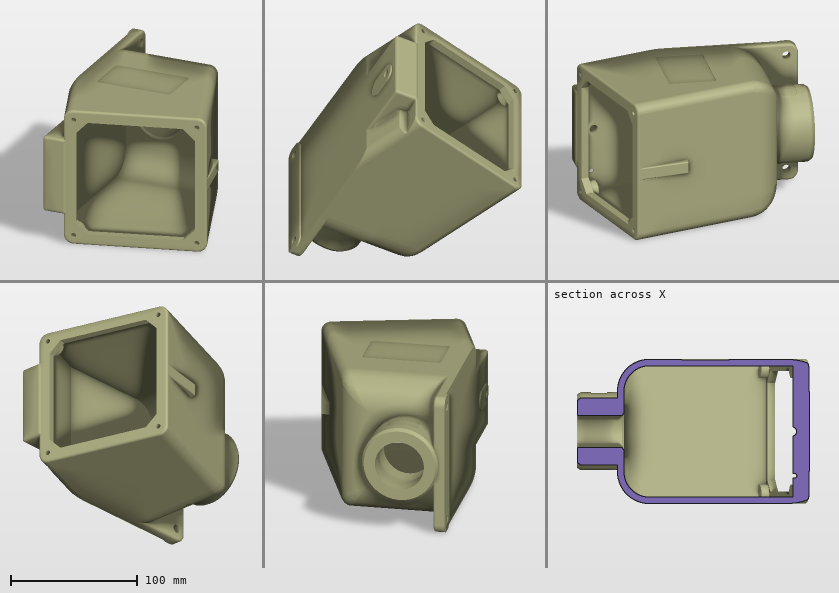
import cadquery as cq
import math


overall_length = 184.15
height = 114.3
half_height = height / 2
back_plane = 1.3
corner_y, corner_z = 127.1, 31.75
corner_x = 67.85
corner_radius = half_height - corner_z
rear_y = corner_y + corner_radius
wall_angle = math.radians(20)
mouth_angle = math.radians(15)
heel_x, heel_y = 19.4, 0.5
long_edge_radius = 7.6
rim_radius = 1.9

wall = 5.5
mouth_depth = 6.35
mouth_chamfer = 9.5
cavity_corner_radius = corner_radius - wall
mouth_half_height = 47.625
mouth_left, mouth_right = 28.7, 120.7

screw_left, screw_right = 27.0, 122.3
screw_z = 49.4
screw_diameter = 3.9
screw_depth = 9.5
screw_boss_radius = 7.5
screw_boss_end = 12.7

collar_x = 35.6
collar_radius = 30.8
collar_chamfer_length, collar_chamfer_inset = 3.0, 1.9
bore_radius = 19.7
bore_chamfer = 1.5

flange_end = 180.6
flange_thickness = 9.3
flange_corner = 7.6
flange_edge_radius = 2.0
pad_length = 19.4
mount_hole_y, mount_hole_z = 171.1, 47.625
mount_hole_diameter = 6.8
slot_pad_start, slot_pad_end, slot_pad_width = 6.6, 38.4, 16.0
foot_hole_y = 14.4

rib_half_width = 31.9
rib_edge_radius = 2.3
rib_root_radius = 2.2
relief_x, relief_y = 19.2, 16.7
relief_root_radius, relief_edge_radius = 2.0, 1.8
drain_y, drain_z, drain_diameter = 12.6, -35.0, 3.4

lug_y, lug_tip_x = 72.5, 121.0
lug_half_width = 4.9
lug_edge_radius = 1.0
lug_root_radius = corner_radius - wall / 2

label_depth = 0.5
label_length, label_width, label_corner = 63.5, 38.1, 2.5
label_x, label_y = 50.9, 82.7
size_label_length, size_label_width, size_label_corner = 24.6, 12.5, 2.0
size_label_y = 166.8

mouth_normal = cq.Vector(math.sin(mouth_angle), -math.cos(mouth_angle), 0)


def mouth_y(x, depth=0.0):
    """Y of the plane lying the given depth inside the mouth face."""
    return heel_y + (x - heel_x) * math.tan(mouth_angle) + depth / math.cos(mouth_angle)


def left_wall_x(y, inset=0.0):
    return heel_x - (y - heel_y) * math.tan(wall_angle) + inset / math.cos(wall_angle)


def left_wall_y(x, inset=0.0):
    return heel_y + (heel_x - x + inset / math.cos(wall_angle)) / math.tan(wall_angle)


def right_wall_x(y, radius):
    """X of the right wall, which is tangent to the rear corner arc of the given radius."""
    return corner_x + radius / math.cos(wall_angle) - (y - corner_y) * math.tan(wall_angle)


def mouth_point(wall_x_at_y, depth):
    """Point where a leaning wall, given as X at a chosen Y, meets the plane at a depth inside the mouth."""
    x_at_mouth_start = wall_x_at_y(mouth_y(0, depth))
    x = x_at_mouth_start / (1 + math.tan(mouth_angle) * math.tan(wall_angle))
    return x, mouth_y(x, depth)


def right_mouth_point(radius, depth):
    return mouth_point(lambda y: right_wall_x(y, radius), depth)


def left_mouth_point(inset, depth):
    return mouth_point(lambda y: left_wall_x(y, inset), depth)


def corner_arc_point(radius, angle):
    return corner_x + radius * math.cos(angle), corner_y + radius * math.sin(angle)


def plan_prism(left_x, inset, arc_radius, depth):
    """Plan outline of the shell or cavity, extruded over the full height."""
    middle_angle = (wall_angle + math.pi / 2) / 2
    return (
        cq.Workplane("XY").workplane(offset=-half_height)
        .moveTo(*left_mouth_point(inset, depth))
        .lineTo(left_x, left_wall_y(left_x, inset))
        .lineTo(left_x, corner_y + arc_radius)
        .lineTo(corner_x, corner_y + arc_radius)
        .threePointArc(corner_arc_point(arc_radius, middle_angle), corner_arc_point(arc_radius, wall_angle))
        .lineTo(*right_mouth_point(arc_radius, depth))
        .close().extrude(height)
    )


def side_prism(arc_radius):
    """Side outline with rounded rear corners, extruded over the full width."""
    diagonal = arc_radius * math.sqrt(0.5)
    top_z = corner_z + arc_radius
    return (
        cq.Workplane("YZ")
        .moveTo(0, -top_z)
        .lineTo(corner_y, -top_z)
        .threePointArc((corner_y + diagonal, -corner_z - diagonal), (corner_y + arc_radius, -corner_z))
        .lineTo(corner_y + arc_radius, corner_z)
        .threePointArc((corner_y + diagonal, corner_z + diagonal), (corner_y, top_z))
        .lineTo(0, top_z)
        .close().extrude(overall_length)
    )


def mouth_plane():
    """Plane on the mouth face, local x along the face, local y along Z, normal outward."""
    along = (math.cos(mouth_angle), math.sin(mouth_angle), 0)
    return cq.Workplane(cq.Plane(origin=(heel_x, heel_y, 0), xDir=along, normal=mouth_normal))


def along_mouth(x):
    return (x - heel_x) / math.cos(mouth_angle)


screw_points = [
    (along_mouth(x), z) for x in (screw_left, screw_right) for z in (-screw_z, screw_z)
]


def box_between(low, high):
    size = [b - a for a, b in zip(low, high)]
    return cq.Workplane("XY").box(*size, centered=False).translate(low)


def housing():
    shell = plan_prism(back_plane, 0, corner_radius, 0)
    shell = shell.intersect(side_prism(corner_radius))
    points_on_walls = (
        (right_wall_x(label_y, corner_radius), label_y),
        (left_wall_x(relief_y), relief_y),
    )
    for x, y in points_on_walls:
        for z in (-half_height, half_height):
            long_edge = cq.selectors.NearestToPointSelector((x, y, z))
            shell = shell.edges(long_edge).fillet(long_edge_radius)
    mouth_face = shell.faces(cq.selectors.DirectionMinMaxSelector(mouth_normal))
    return mouth_face.edges().fillet(rim_radius)


def foot_rib():
    """Straight rib that carries the mounting plane down past the leaning left wall."""
    root_y = left_wall_y(back_plane)
    inner_x = heel_x + rim_radius
    rib = (
        cq.Workplane("XY").workplane(offset=-rib_half_width)
        .moveTo(back_plane, 0)
        .lineTo(heel_x, 0)
        .lineTo(inner_x, mouth_y(inner_x))
        .lineTo(inner_x, root_y)
        .lineTo(back_plane, root_y)
        .close().extrude(2 * rib_half_width)
    )
    return rib.edges("(<X and |Y) or (<X and <Y) or (<Y and |X)").fillet(rib_edge_radius)


def rib_root_fillets():
    """Concave fillets where the rib sides meet the left wall."""
    root_y = left_wall_y(back_plane)
    down_the_wall = (math.sin(wall_angle), -math.cos(wall_angle), 0)
    into_the_wall = (math.cos(wall_angle), math.sin(wall_angle), 0)
    section_plane = cq.Plane(origin=(back_plane, root_y, 0), xDir=into_the_wall, normal=down_the_wall)
    length = (root_y - heel_y - rib_edge_radius) / math.cos(wall_angle)
    bend = rib_root_radius * (1 - math.sqrt(0.5))
    fillets = cq.Workplane("XY")
    for side in (-1, 1):
        root_z = side * rib_half_width
        fillet = (
            cq.Workplane(section_plane)
            .moveTo(0, root_z)
            .lineTo(0, root_z + side * rib_root_radius)
            .threePointArc((-bend, root_z + side * bend), (-rib_root_radius, root_z))
            .close().extrude(length)
        )
        fillets = fillets.add(fillet)
    rib_reach = box_between((back_plane + rib_edge_radius, 0, -half_height), (heel_x, root_y, half_height))
    return fillets.combine().intersect(rib_reach)


def corner_relief():
    """Notch in the lower end of the left wall, blending into the wall through a convex round."""
    edge_x = left_wall_x(relief_y)
    corner_angle = math.pi / 2 + wall_angle
    tangent_length = relief_edge_radius / math.tan(corner_angle / 2)
    center_x, center_y = edge_x + tangent_length, relief_y + relief_edge_radius
    wall_end = (
        edge_x - tangent_length * math.sin(wall_angle),
        relief_y + tangent_length * math.cos(wall_angle))
    middle_angle = (3 * math.pi / 2 + math.pi + wall_angle) / 2
    round_middle = (
        center_x + relief_edge_radius * math.cos(middle_angle),
        center_y + relief_edge_radius * math.sin(middle_angle))
    notch = (
        cq.Workplane("XY").workplane(offset=-half_height)
        .moveTo(0, 0)
        .lineTo(relief_x, 0)
        .lineTo(relief_x, relief_y)
        .lineTo(center_x, relief_y)
        .threePointArc(round_middle, wall_end)
        .lineTo(0, wall_end[1])
        .close().extrude(half_height - rib_half_width)
    )
    root = cq.selectors.NearestToPointSelector((relief_x, relief_y, -half_height))
    return notch.edges("|Z").edges(root).fillet(relief_root_radius)


def flange():
    plate = box_between((0, corner_y, -half_height), (flange_thickness, flange_end, half_height))
    plate = plate.edges("|X and >Y").fillet(flange_corner)
    plate = plate.faces(">X").edges("not <Y").fillet(flange_edge_radius)
    relief = box_between((0, corner_y, -half_height), (back_plane, flange_end, half_height))
    return plate.cut(relief)


def pads():
    flange_pad = box_between(
        (0, flange_end - pad_length, -half_height), (back_plane, flange_end, half_height))
    flange_pad = flange_pad.edges("|X").fillet(flange_corner)
    slot_pad = (
        cq.Workplane("YZ").center((slot_pad_start + slot_pad_end) / 2, 0)
        .slot2D(slot_pad_end - slot_pad_start, slot_pad_width).extrude(back_plane)
    )
    return flange_pad.union(slot_pad)


def collar():
    return (
        cq.Workplane("XZ", origin=(collar_x, overall_length, 0))
        .circle(collar_radius).extrude(overall_length - corner_y - cavity_corner_radius)
        .faces(">Y").chamfer(collar_chamfer_length, collar_chamfer_inset)
    )


def bore():
    inner_y = corner_y + cavity_corner_radius
    return (
        cq.Workplane("XY", origin=(collar_x, 0, 0))
        .moveTo(0, inner_y)
        .lineTo(bore_radius + bore_chamfer, inner_y)
        .lineTo(bore_radius, inner_y + bore_chamfer)
        .lineTo(bore_radius, overall_length)
        .lineTo(0, overall_length)
        .close().revolve(360, (0, 0, 0), (0, 1, 0))
    )


def cavity():
    room = plan_prism(back_plane + wall, wall, cavity_corner_radius, mouth_depth)
    room = room.intersect(side_prism(cavity_corner_radius))
    bosses = mouth_plane().pushPoints(screw_points).circle(screw_boss_radius).extrude(-screw_boss_end)
    mouth = (
        mouth_plane().center((along_mouth(mouth_left) + along_mouth(mouth_right)) / 2, 0)
        .rect(along_mouth(mouth_right) - along_mouth(mouth_left), 2 * mouth_half_height)
        .extrude(-mouth_depth)
        .edges(cq.selectors.ParallelDirSelector(mouth_normal)).chamfer(mouth_chamfer)
    )
    return room.cut(bosses).union(mouth)


def lug():
    base_x, base_y = right_mouth_point(corner_radius, rim_radius)
    block = (
        cq.Workplane("XY").workplane(offset=-lug_half_width)
        .moveTo(base_x, base_y)
        .lineTo(lug_tip_x, lug_y)
        .lineTo(right_wall_x(lug_y, lug_root_radius), lug_y)
        .lineTo(right_wall_x(base_y, lug_root_radius), base_y)
        .close().extrude(2 * lug_half_width)
    )
    outer_face_center = ((base_x + lug_tip_x) / 2, (base_y + lug_y) / 2, 0)
    outer_face = block.faces(cq.selectors.NearestToPointSelector(outer_face_center))
    return outer_face.edges("not <Y").fillet(lug_edge_radius)


def holes():
    flange_holes = (
        cq.Workplane("YZ").pushPoints([(mount_hole_y, -mount_hole_z), (mount_hole_y, mount_hole_z)])
        .circle(mount_hole_diameter / 2).extrude(flange_thickness)
    )
    foot_hole = cq.Workplane("YZ").center(foot_hole_y, 0).circle(mount_hole_diameter / 2).extrude(mouth_left)
    drain = cq.Workplane("YZ").center(drain_y, drain_z).circle(drain_diameter / 2).extrude(mouth_left)
    screws = mouth_plane().pushPoints(screw_points).circle(screw_diameter / 2).extrude(-screw_depth)
    return flange_holes.union(foot_hole).union(drain).union(screws)


def labels():
    top_label = (
        cq.Workplane("XY", origin=(label_x, label_y, half_height))
        .rect(label_length, label_width).extrude(-label_depth).edges("|Z").fillet(label_corner)
    )
    size_label = (
        cq.Workplane("XY", origin=(collar_x, size_label_y, 0))
        .rect(size_label_length, size_label_width).extrude(collar_radius).edges("|Z").fillet(size_label_corner)
    )
    core = (
        cq.Workplane("XZ", origin=(collar_x, overall_length, 0))
        .circle(collar_radius - label_depth).extrude(overall_length - rear_y)
    )
    return top_label.union(size_label.cut(core))


result = housing().union(rib_root_fillets()).cut(corner_relief())
for added in (foot_rib(), flange(), collar(), lug(), pads()):
    result = result.union(added)
for removed in (cavity(), bore(), holes(), labels()):
    result = result.cut(removed)